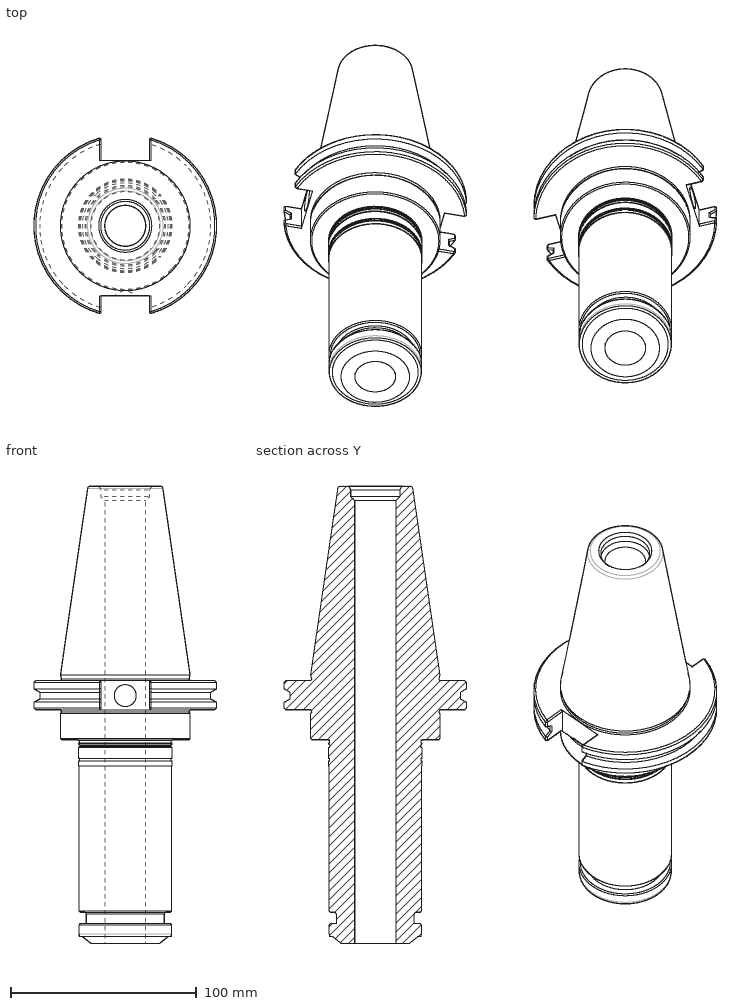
import cadquery as cq
import math

total_height = 246.0
gauge_z = 144.5
flange_top_z = 141.5
flange_bottom_z = 125.7
collar_top_z = 124.5
collar_bottom_z = 109.5
band_bottom_z = 95.5
barrel_bottom_z = 16.7
nut_top_z = 10.8
nut_bottom_z = 3.7

gauge_diameter = 69.9
taper_ratio = 7 / 24
taper_end_diameter = gauge_diameter - (total_height - gauge_z) * taper_ratio
taper_end_fillet = 1.5

relief_diameter = 68.6
relief_foot_height = 0.7

flange_diameter = 98.5
flange_chamfer = 1.0
v_groove_z = 133.3
v_groove_floor_width = 3.5
v_groove_depth = 3.2
v_groove_side_angle = 30.0

collar_diameter = gauge_diameter
collar_chamfer = 0.7
band_diameter = 50.5
barrel_diameter = 50.0
barrel_chamfer = 0.7
nut_neck_diameter = 42.0
nut_neck_flare = 0.7
nut_top_chamfer = 0.7
nut_bottom_chamfer_height = 1.5
nut_bottom_chamfer_width = 0.2
nose_cone_diameter = 46.2
nose_diameter = 37.0

fine_groove_heights = (108.5, 99.0)
fine_groove_width = 1.5
fine_groove_depth = 0.5
relief_groove_z = 106.3
relief_groove_floor_width = 0.5
relief_groove_depth = 0.7
relief_groove_side_angle = 45.0

bore_diameter = 22.0
counterbore_diameter = 26.3
counterbore_depth = 5.7
counterbore_chamfer_width = 1.1
counterbore_chamfer_height = 2.0

slot_width = 25.8
front_slot_distance = 37.6
back_slot_distance = 35.2
slot_edge_chamfer = 0.85
dimple_diameter = 11.8
dimple_angle = 118.0


def revolve_about_z(profile):
    """Revolve a closed (radius, z) outline about the Z axis."""
    return cq.Workplane("XZ").polyline(profile).close().revolve(360, (0, 0), (0, 1))


def drum(diameter, bottom_z, top_z, bottom_chamfer=0.0, top_chamfer=0.0):
    """Cylinder on the Z axis with optional chamfers on its rims."""
    body = cq.Workplane("XY", origin=(0, 0, bottom_z)).circle(diameter / 2).extrude(top_z - bottom_z)
    if bottom_chamfer:
        body = body.faces("<Z").chamfer(bottom_chamfer)
    if top_chamfer:
        body = body.faces(">Z").chamfer(top_chamfer)
    return body


def taper():
    """Spindle cone with a rounded small end."""
    cone = revolve_about_z([
        (0, gauge_z),
        (gauge_diameter / 2, gauge_z),
        (taper_end_diameter / 2, total_height),
        (0, total_height),
    ])
    return cone.faces(">Z").edges().fillet(taper_end_fillet)


def upper_relief():
    """Relief between the flange and the gauge plane, flared at the flange."""
    return revolve_about_z([
        (0, flange_top_z),
        (gauge_diameter / 2, flange_top_z),
        (relief_diameter / 2, flange_top_z + relief_foot_height),
        (gauge_diameter / 2, gauge_z),
        (0, gauge_z),
    ])


def lower_relief():
    """Relief between the collar and the flange, flared at the flange."""
    return revolve_about_z([
        (0, collar_top_z),
        (relief_diameter / 2, collar_top_z),
        (gauge_diameter / 2, flange_bottom_z),
        (0, flange_bottom_z),
    ])


def ring_groove(diameter, z, floor_width, depth, side_angle=0.0):
    """Cutter for a groove round a cylinder; side_angle opens each side outward."""
    outer_r = diameter / 2
    floor_half = floor_width / 2
    mouth_half = floor_half + depth * math.tan(math.radians(side_angle))
    return revolve_about_z([
        (outer_r - depth, z - floor_half),
        (outer_r, z - mouth_half),
        (outer_r, z + mouth_half),
        (outer_r - depth, z + floor_half),
    ])


def slot_cutter(floor_distance, side):
    """Drive slot through the flange; side is -1 for -Y and +1 for +Y."""
    flange_r = flange_diameter / 2
    depth = flange_r - floor_distance
    height = flange_top_z - flange_bottom_z
    centre = (0, side * (floor_distance + depth / 2), (flange_top_z + flange_bottom_z) / 2)
    return cq.Workplane("XY", origin=centre).box(slot_width, depth, height)


def lies_on_slot_floor(edge):
    """True for an edge in the floor plane of either slot."""
    y = edge.Center().y
    return math.isclose(y, back_slot_distance) or math.isclose(y, -front_slot_distance)


def chamfer_slot_walls(body):
    """Chamfer the rims of the slot side walls, except where they meet the floor."""
    wall_edges = body.faces("|X").edges().vals()
    rims = [edge for edge in wall_edges if not lies_on_slot_floor(edge)]
    return body.newObject(rims).chamfer(slot_edge_chamfer)


def flange():
    """Gripper flange with V-groove and two drive slots."""
    body = drum(flange_diameter, flange_bottom_z, flange_top_z, flange_chamfer, flange_chamfer)
    body = body.cut(ring_groove(flange_diameter, v_groove_z, v_groove_floor_width,
                                v_groove_depth, v_groove_side_angle))
    body = body.cut(slot_cutter(front_slot_distance, -1))
    body = body.cut(slot_cutter(back_slot_distance, 1))
    return chamfer_slot_walls(body)


def dimple():
    """Conical cutter sunk into the floor of the -Y slot."""
    radius = dimple_diameter / 2
    depth = radius / math.tan(math.radians(dimple_angle / 2))
    cone = cq.Solid.makeCone(radius, 0, depth, pnt=cq.Vector(0, -front_slot_distance, v_groove_z),
                             dir=cq.Vector(0, 1, 0))
    return cq.Workplane(cone)


def band():
    """Banded top of the barrel with its grooves."""
    body = drum(band_diameter, band_bottom_z, collar_bottom_z)
    for z in fine_groove_heights:
        body = body.cut(ring_groove(band_diameter, z, fine_groove_width, fine_groove_depth))
    return body.cut(ring_groove(band_diameter, relief_groove_z, relief_groove_floor_width,
                                relief_groove_depth, relief_groove_side_angle))


def nut():
    """Nose nut with its neck and the cone down to the nose face."""
    rim_r = barrel_diameter / 2
    neck_r = nut_neck_diameter / 2
    return revolve_about_z([
        (0, 0),
        (nose_diameter / 2, 0),
        (nose_cone_diameter / 2, nut_bottom_z),
        (rim_r - nut_bottom_chamfer_width, nut_bottom_z),
        (rim_r, nut_bottom_z + nut_bottom_chamfer_height),
        (rim_r, nut_top_z - nut_top_chamfer),
        (rim_r - nut_top_chamfer, nut_top_z),
        (neck_r, nut_top_z),
        (neck_r, barrel_bottom_z - nut_neck_flare),
        (neck_r + nut_neck_flare, barrel_bottom_z),
        (0, barrel_bottom_z),
    ])


def bore():
    """Through bore with a chamfered counterbore at the taper end."""
    counterbore_r = counterbore_diameter / 2
    bore_r = bore_diameter / 2
    floor_z = total_height - counterbore_depth
    return revolve_about_z([
        (0, 0),
        (bore_r, 0),
        (bore_r, floor_z - (counterbore_r - bore_r)),
        (counterbore_r, floor_z),
        (counterbore_r, total_height - counterbore_chamfer_height),
        (counterbore_r + counterbore_chamfer_width, total_height),
        (0, total_height),
    ])


result = (
    nut()
    .union(drum(barrel_diameter, barrel_bottom_z, band_bottom_z, bottom_chamfer=barrel_chamfer))
    .union(band())
    .union(drum(collar_diameter, collar_bottom_z, collar_top_z, collar_chamfer, collar_chamfer))
    .union(lower_relief())
    .union(flange())
    .union(upper_relief())
    .union(taper())
    .cut(dimple())
    .cut(bore())
)